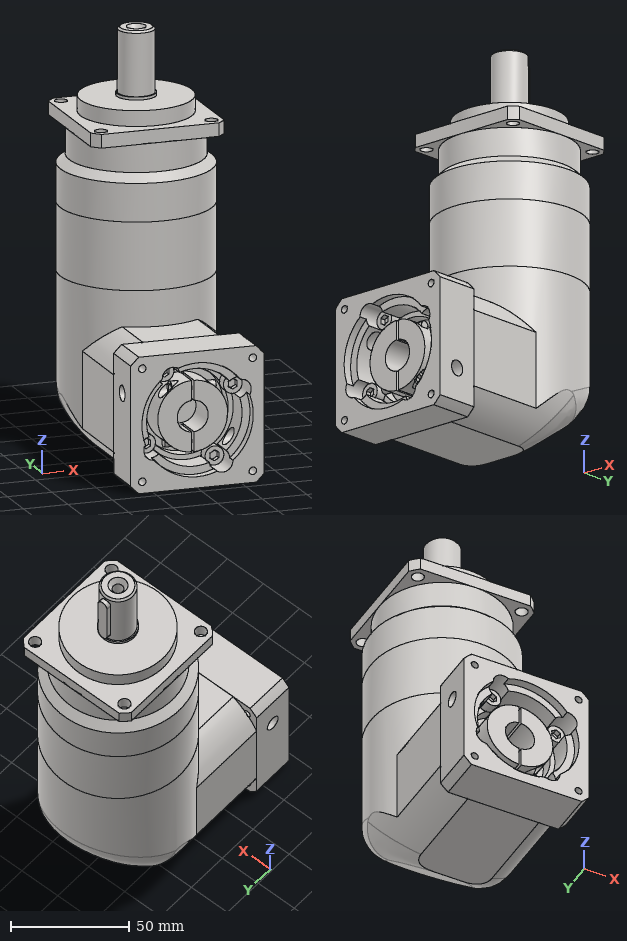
import cadquery as cq
import math


OVERALL_HEIGHT = 182.5
OVERALL_DEPTH = 110.0

BODY_DIA = 68.0
FLANGE_SIDE = 60.0
CORNER_DIA = 80.0
NECK_DIA = FLANGE_SIDE
BOSS_DIA = 50.0
SHAFT_DIA = 16.0
COLLAR_DIA = 17.3
RIM_HEIGHT = 3.6

BOTTOM_Z = -FLANGE_SIDE / 2
TOP_Z = BOTTOM_Z + OVERALL_HEIGHT
ELBOW_TOP_Z = 46.0
RING_TOP_Z = 76.1
RIM_TOP_Z = 96.7
FLANGE_BOTTOM_Z = 109.5
FLANGE_TOP_Z = 115.5
BOSS_TOP_Z = 122.5
COLLAR_HEIGHT = 1.3
SHAFT_CHAMFER = 1.0

HOLE_OFFSET = 24.8
FLANGE_HOLE_DIA = 5.5

KEY_WIDTH = 5.0
KEY_LENGTH = 25.0
KEY_TOP_Y = 10.0
KEY_BOTTOM_Z = 125.4
CENTRE_MOUTH_DIA = 8.4
CENTRE_DRILL_DIA = 5.0
CENTRE_CONE_DEPTH = 2.5
CENTRE_DRILL_DEPTH = 12.0
CENTRE_TIP_DEPTH = 1.5

ARM_DIA = 69.0
CUT_TILT = 51.0
CUT_DISTANCE = 20.0
CUT_FILLET = 15.0

ADAPTER_BACK_Y = -55.0
ADAPTER_FRONT_Y = BODY_DIA / 2 - OVERALL_DEPTH
ADAPTER_LENGTH = ADAPTER_BACK_Y - ADAPTER_FRONT_Y
PILOT_DIA = 50.0
PILOT_DEPTH = 4.0
BORE_DIA = 42.9
BORE_DEPTH = 15.0
THROAT_DIA = 38.3
TAPPED_HOLE_DIA = 3.3

SCREW_CIRCLE_DIA = 44.9
SCREW_ANGLES = (30, 120, 210, 300)
COUNTERBORE_DIA = 9.3
SCREW_HEAD_DIA = 8.4
SCREW_HEAD_HEIGHT = 5.0
HEX_WIDTH = 4.0
HEX_DEPTH = 2.5

HUB_DIA = 31.4
HUB_BORE_DIA = 13.9
HUB_RECESS = 6.0
SLIT_WIDTH = 1.1
SLIT_END_WALL = 1.8
CLAMP_DEPTH = 10.5
CLAMP_Z = 11.7
CLAMP_HEAD_DIA = 6.4
CLAMP_HEAD_HEIGHT = 4.0
CLAMP_HEAD_X = -8.5
CLAMP_SHANK_DIA = 4.0
CLAMP_TIP_X = 11.5
ACCESS_DIA = 7.0
CLAMP_HEX_WIDTH = 3.8
CLAMP_HEX_DEPTH = 2.0


def disc(diameter, bottom_z, top_z):
    """Cylinder on the Z axis."""
    return cq.Workplane("XY").workplane(offset=bottom_z).circle(diameter / 2).extrude(top_z - bottom_z)


def input_workplane(depth=0.0):
    """Plane facing -Y, at a depth behind the adapter's front face."""
    return cq.Workplane("XZ", origin=(0, ADAPTER_FRONT_Y + depth, 0))


def trimmed_square(plane, side, corner_diameter, length):
    """Square prism whose corners are turned to a diameter."""
    square = plane.rect(side, side).extrude(length)
    return square.intersect(plane.circle(corner_diameter / 2).extrude(length))


def square_pattern(offset):
    return [(x, y) for x in (-offset, offset) for y in (-offset, offset)]


def clamp_workplane(start_x):
    """Plane facing +X, centred on the axis of the upper clamp screw."""
    return cq.Workplane("YZ", origin=(start_x, ADAPTER_FRONT_Y + CLAMP_DEPTH, CLAMP_Z))


def along_x(diameter, start_x, end_x):
    """Cylinder parallel to X, on the axis of the upper clamp screw."""
    return clamp_workplane(start_x).circle(diameter / 2).extrude(end_x - start_x)


def half_turn(shape):
    """The shape turned by 180 degrees about the input axis."""
    return shape.rotate((0, 0, 0), (0, 1, 0), 180)


def make_output_shaft():
    shaft = disc(SHAFT_DIA, BOSS_TOP_Z, TOP_Z).faces(">Z").chamfer(SHAFT_CHAMFER)
    shaft = shaft.union(disc(COLLAR_DIA, BOSS_TOP_Z, BOSS_TOP_Z + COLLAR_HEIGHT))

    key_middle_z = KEY_BOTTOM_Z + KEY_LENGTH / 2
    key_plane = cq.Workplane("XZ", origin=(0, 0, key_middle_z))
    key = key_plane.slot2D(KEY_LENGTH, KEY_WIDTH, 90).extrude(-KEY_TOP_Y)
    shaft = shaft.union(key)

    mouth = CENTRE_MOUTH_DIA / 2
    drill = CENTRE_DRILL_DIA / 2
    centre_hole = (
        cq.Workplane("XZ")
        .moveTo(0, TOP_Z)
        .lineTo(mouth, TOP_Z)
        .lineTo(drill, TOP_Z - CENTRE_CONE_DEPTH)
        .lineTo(drill, TOP_Z - CENTRE_DRILL_DEPTH)
        .lineTo(0, TOP_Z - CENTRE_DRILL_DEPTH - CENTRE_TIP_DEPTH)
        .close()
        .revolve(360, (0, 0, 0), (0, 1, 0))
    )
    return shaft.cut(centre_hole)


def make_output_flange():
    flange = disc(BODY_DIA, RING_TOP_Z, RIM_TOP_Z)
    flange = flange.faces(">Z").chamfer(RIM_HEIGHT, (BODY_DIA - NECK_DIA) / 2)
    flange = flange.union(disc(NECK_DIA, RIM_TOP_Z, FLANGE_BOTTOM_Z))
    plate_plane = cq.Workplane("XY").workplane(offset=FLANGE_BOTTOM_Z)
    plate_height = FLANGE_TOP_Z - FLANGE_BOTTOM_Z
    plate = trimmed_square(plate_plane, FLANGE_SIDE, CORNER_DIA, plate_height)
    holes = plate_plane.pushPoints(square_pattern(HOLE_OFFSET)).circle(FLANGE_HOLE_DIA / 2)
    flange = flange.union(plate.cut(holes.extrude(plate_height)))
    return flange.union(disc(BOSS_DIA, FLANGE_TOP_Z, BOSS_TOP_Z))


def make_ring_gear():
    return disc(BODY_DIA, ELBOW_TOP_Z, RING_TOP_Z)


def make_elbow():
    arm_length = -ADAPTER_BACK_Y
    round_bar = cq.Workplane("XZ", origin=(0, BODY_DIA, 0)).circle(ARM_DIA / 2).extrude(BODY_DIA + arm_length)
    arm = cq.Workplane("XZ").center(0, BOTTOM_Z).rect(FLANGE_SIDE, 2 * FLANGE_SIDE).extrude(arm_length)
    arm = arm.intersect(round_bar)

    trim_size = 3 * BODY_DIA
    outside_bar = cq.Workplane("XY").rect(trim_size, trim_size).extrude(-trim_size).cut(round_bar)
    elbow = disc(BODY_DIA, -BODY_DIA, ELBOW_TOP_Z).union(arm).cut(outside_bar)

    tilt = math.radians(CUT_TILT)
    normal = cq.Vector(0, math.cos(tilt), -math.sin(tilt))
    cut_plane = cq.Workplane(cq.Plane(normal * CUT_DISTANCE, (1, 0, 0), normal))
    elbow = elbow.cut(cut_plane.rect(trim_size, trim_size).extrude(trim_size))
    elbow = elbow.faces(cq.selectors.DirectionMinMaxSelector(normal, True)).edges().fillet(CUT_FILLET)

    below = cq.Workplane("XY").workplane(offset=BOTTOM_Z).rect(trim_size, trim_size).extrude(-trim_size)
    return elbow.cut(below)


def make_adapter():
    adapter = trimmed_square(input_workplane(ADAPTER_LENGTH), FLANGE_SIDE, CORNER_DIA, ADAPTER_LENGTH)

    for diameter, depth in (
        (PILOT_DIA, PILOT_DEPTH),
        (BORE_DIA, BORE_DEPTH),
        (THROAT_DIA, ADAPTER_LENGTH),
    ):
        adapter = adapter.cut(input_workplane().circle(diameter / 2).extrude(-depth))

    tapped = input_workplane().pushPoints(square_pattern(HOLE_OFFSET)).circle(TAPPED_HOLE_DIA / 2)
    adapter = adapter.cut(tapped.extrude(-ADAPTER_LENGTH))

    for angle in SCREW_ANGLES:
        screw_x = SCREW_CIRCLE_DIA / 2 * math.cos(math.radians(angle))
        screw_z = SCREW_CIRCLE_DIA / 2 * math.sin(math.radians(angle))
        at_floor = input_workplane(BORE_DEPTH).center(screw_x, screw_z)
        adapter = adapter.cut(at_floor.circle(COUNTERBORE_DIA / 2).extrude(BORE_DEPTH))
        head = at_floor.circle(SCREW_HEAD_DIA / 2).extrude(SCREW_HEAD_HEIGHT)
        at_head_top = input_workplane(BORE_DEPTH - SCREW_HEAD_HEIGHT).center(screw_x, screw_z)
        socket = at_head_top.polygon(6, HEX_WIDTH, circumscribed=True).extrude(-HEX_DEPTH)
        adapter = adapter.union(head.cut(socket))

    access = along_x(ACCESS_DIA, -FLANGE_SIDE / 2, CLAMP_HEAD_X)
    return adapter.cut(access).cut(half_turn(access))


def make_clamp_hub():
    length = ADAPTER_LENGTH - HUB_RECESS
    hub = input_workplane(HUB_RECESS).circle(HUB_DIA / 2).extrude(-length)
    hub = hub.cut(input_workplane(HUB_RECESS).circle(HUB_BORE_DIA / 2).extrude(-length))
    slit = input_workplane(HUB_RECESS).rect(SLIT_WIDTH, HUB_DIA).extrude(-(length - SLIT_END_WALL))
    hub = hub.cut(slit)

    counterbore = along_x(ACCESS_DIA, -HUB_DIA / 2, CLAMP_HEAD_X)
    hub = hub.cut(counterbore).cut(half_turn(counterbore))
    head = along_x(CLAMP_HEAD_DIA, CLAMP_HEAD_X, CLAMP_HEAD_X + CLAMP_HEAD_HEIGHT)
    screw = head.union(along_x(CLAMP_SHANK_DIA, CLAMP_HEAD_X, CLAMP_TIP_X))
    socket = clamp_workplane(CLAMP_HEAD_X).polygon(6, CLAMP_HEX_WIDTH, circumscribed=True)
    socket = socket.extrude(CLAMP_HEX_DEPTH)
    hub = hub.union(screw).union(half_turn(screw))
    return hub.cut(socket).cut(half_turn(socket))


output_shaft = make_output_shaft()
output_flange = make_output_flange()
ring_gear = make_ring_gear()
elbow = make_elbow()
adapter = make_adapter()
clamp_hub = make_clamp_hub()

result = cq.Compound.makeCompound([
    output_shaft.solids().val(),
    output_flange.solids().val(),
    ring_gear.solids().val(),
    elbow.solids().val(),
    adapter.solids().val(),
    clamp_hub.solids().val(),
])